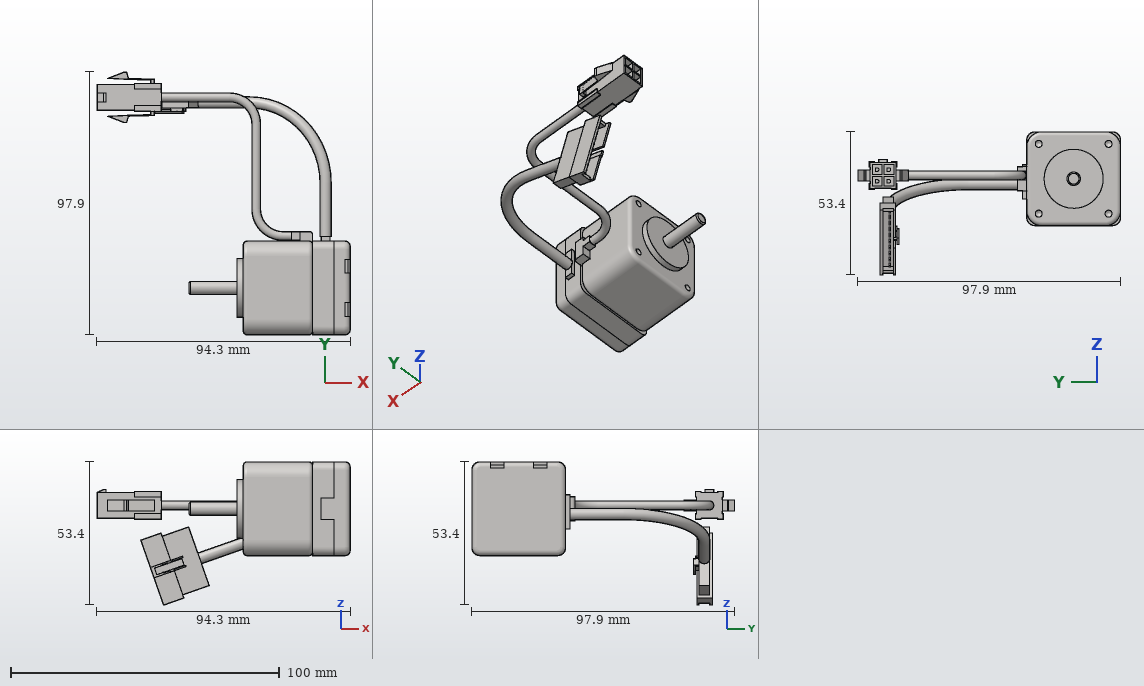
import cadquery as cq
import math


FRAME = 35.0
HALF_FRAME = FRAME / 2
MOTOR_LENGTH = 25.9
MOTOR_CORNER_RADIUS = 5.7
MOTOR_EDGE_RADIUS = 1.5
PILOT_DIAMETER = 22.0
PILOT_HEIGHT = 2.4
MOUNT_PITCH = 26.0
MOUNT_HOLE_DIAMETER = 2.6
MOUNT_HOLE_DEPTH = 4.5
DRILL_POINT_DEPTH = 0.75

SHAFT_DIAMETER = 5.0
SHAFT_REACH = 20.2
SHAFT_CHAMFER = 0.5
SHAFT_SEAT_DEPTH = 10.0

ENCODER_END = 39.88
ENCODER_CORNER_RADIUS = 3.1
COVER_START = 33.8
COVER_EDGE_RADIUS = 2.0
TAB_LENGTH = 4.85
TAB_WIDTH = 8.0
TAB_THICKNESS = 2.0
NOTCH_PITCH = 16.1
NOTCH_WIDTH = 5.1
NOTCH_START = 38.0
NOTCH_STEP_START = 39.0
NOTCH_DEPTH = 1.2
NOTCH_STEP_DEPTH = 2.4
BOSS_WIDTH = 3.3
BOSS_HEIGHT = 1.6
BOSS_EMBED = 1.0
BOSS_BOTTOM = -7.6
BOSS_TOP = 5.3

MOTOR_CABLE_DIAMETER = 3.3
MOTOR_CABLE_BEND = 10.0
MOTOR_CABLE_Z = 1.25
MOTOR_CABLE_RUN_X = 4.85
PLUG_LENGTH = 4.8
PLUG_HEIGHT = 3.5
PLUG_WIDTH = 9.1
PLUG_CORNER_RADIUS = 1.2
SLEEVE_LENGTH = 3.2
SLEEVE_START = MOTOR_LENGTH - PLUG_LENGTH - SLEEVE_LENGTH
PLUG_CABLE_Y = HALF_FRAME + PLUG_HEIGHT - MOTOR_CABLE_DIAMETER / 2

FOUR_WAY_FRONT = -54.4
FOUR_WAY_LENGTH = 23.9
FOUR_WAY_BACK = FOUR_WAY_FRONT + FOUR_WAY_LENGTH
FOUR_WAY_WIDTH = 9.7
FOUR_WAY_HALF = FOUR_WAY_WIDTH / 2
FOUR_WAY_Y = 71.0
RAIL_LENGTH = 10.0
RAIL_SIZE = 2.1
RAIL_PROUD = 0.35
SOCKET_SIZE = 3.65
SOCKET_PITCH = 4.35
SOCKET_DEPTH = 10.0
POST_SIZE = 1.35
POST_LENGTH = 6.0
POST_CHAMFER = 0.45
KEY_LENGTH = 3.3
KEY_RAMP_LENGTH = 2.4
KEY_WIDTH = 3.3
KEY_HEIGHT = 1.15
LATCH_WIDTH = 4.2
LATCH_TIP = 3.9
LATCH_PEAK_START = 10.0
LATCH_PEAK_END = 11.0
LATCH_HOOK_END = 11.7
LATCH_ROOT_START = 19.9
LATCH_ROOT_END = 21.3
LATCH_TIP_HEIGHT = 2.2
LATCH_PEAK_HEIGHT = 4.56
LATCH_ROOT_HEIGHT = 1.95
LATCH_THICKNESS = 0.4

ENCODER_CABLE_DIAMETER = 4.25
ENCODER_CABLE_BEND = 30.0
ENCODER_CABLE_X = 30.7
ENCODER_CABLE_Z = -2.0
ENCODER_CABLE_Y = 69.1
ENCODER_CABLE_TAIL = 19.7
ENCODER_CABLE_TILT = 19.36

WIDE_Y = 69.1
WIDE_OFFSET = 0.85
SHROUD_WIDTH = 25.7
SHROUD_LENGTH = 8.05
CLIP_PLATE_THICKNESS = 0.8
PLAIN_PLATE_THICKNESS = 1.1
SHROUD_END_SETBACK = 2.0
BLOCK_WIDTH = 23.2
BLOCK_LENGTH = 10.45
BLOCK_THICKNESS = 4.0
WIDE_LENGTH = SHROUD_LENGTH + BLOCK_LENGTH
CAVITY_DEPTH = 6.5
PIN_COUNT = 10
PIN_PITCH = 2.37
PIN_SIZE = 0.7
PIN_LENGTH = 2.5
PIN_OFFSET = 0.6
CLIP_SLOT_WIDTH = 4.1
CLIP_SLOT_LENGTH = 12.7
CLIP_GUARD_WIDTH = 0.5
CLIP_GUARD_HEIGHT = 1.35
CLIP_ARM_WIDTH = 2.6
CLIP_ARM_START = 1.4
CLIP_ARM_END = 12.2
CLIP_ARM_HEIGHT = 2.1
CLIP_ARM_THICKNESS = 0.8
CLIP_ROOT_LENGTH = 2.0


def block(x_range, y_range, z_range):
    """Axis-aligned box given by its limits along X, Y and Z."""
    size = [limits[1] - limits[0] for limits in (x_range, y_range, z_range)]
    corner = (x_range[0], y_range[0], z_range[0])
    return cq.Workplane("XY").box(*size, centered=False).translate(corner)


def around(center, width):
    """Limits of a width centred on a coordinate."""
    return (center - width / 2, center + width / 2)


def square_bar(start, end, corner_radius):
    """Square bar of the motor frame size along X, with rounded long edges."""
    bar = block((start, end), around(0, FRAME), around(0, FRAME))
    return bar.edges("|X").fillet(corner_radius)


def rod(start, end, diameter):
    """Round rod along the shaft axis."""
    return cq.Workplane("YZ").workplane(offset=start).circle(diameter / 2).extrude(end - start)


def make_shaft():
    shaft = rod(-SHAFT_REACH, SHAFT_SEAT_DEPTH, SHAFT_DIAMETER)
    return shaft.faces("<X").chamfer(SHAFT_CHAMFER)


def mount_hole():
    """Blind mounting hole from the front face, ending in a conical drill point."""
    radius = MOUNT_HOLE_DIAMETER / 2
    half_profile = [
        (0, 0),
        (0, radius),
        (MOUNT_HOLE_DEPTH, radius),
        (MOUNT_HOLE_DEPTH + DRILL_POINT_DEPTH, 0),
    ]
    return cq.Workplane("XY").polyline(half_profile).close().revolve(360, (0, 0, 0), (1, 0, 0))


def make_motor():
    motor = square_bar(0, MOTOR_LENGTH, MOTOR_CORNER_RADIUS)
    motor = motor.faces("<X or >X").edges().fillet(MOTOR_EDGE_RADIUS)
    for y in around(0, MOUNT_PITCH):
        for z in around(0, MOUNT_PITCH):
            motor = motor.cut(mount_hole().translate((0, y, z)))
    motor = motor.union(rod(-PILOT_HEIGHT, MOTOR_EDGE_RADIUS, PILOT_DIAMETER))
    return motor.cut(rod(-PILOT_HEIGHT, SHAFT_SEAT_DEPTH, SHAFT_DIAMETER))


def make_motor_plug():
    """Plug seated on the +Y side of the motor, with a square sleeve around the cable entry."""
    plug = block(
        (MOTOR_LENGTH - PLUG_LENGTH, MOTOR_LENGTH),
        (HALF_FRAME - MOTOR_EDGE_RADIUS, HALF_FRAME + PLUG_HEIGHT),
        around(0, PLUG_WIDTH),
    )
    plug = plug.edges(">X and >Y").fillet(PLUG_CORNER_RADIUS)
    sleeve = block(
        (SLEEVE_START, MOTOR_LENGTH - PLUG_LENGTH),
        around(PLUG_CABLE_Y, MOTOR_CABLE_DIAMETER),
        around(MOTOR_CABLE_Z, MOTOR_CABLE_DIAMETER),
    )
    return plug.union(sleeve)


def cover_tab():
    """Tab of the cover that fills a notch in the -Y wall of the encoder base."""
    return block(
        (COVER_START - TAB_LENGTH, COVER_START),
        (-HALF_FRAME, -HALF_FRAME + TAB_THICKNESS),
        around(0, TAB_WIDTH),
    )


def make_encoder_base():
    base = square_bar(MOTOR_LENGTH, COVER_START, ENCODER_CORNER_RADIUS).cut(cover_tab())
    cable_boss = block(
        around(ENCODER_CABLE_X, BOSS_WIDTH),
        (HALF_FRAME - BOSS_EMBED, HALF_FRAME + BOSS_HEIGHT),
        (BOSS_BOTTOM, BOSS_TOP),
    )
    return base.union(cable_boss)


def make_encoder_cover():
    cover = square_bar(COVER_START, ENCODER_END, ENCODER_CORNER_RADIUS)
    cover = cover.faces(">X").edges().fillet(COVER_EDGE_RADIUS)
    cover = cover.union(cover_tab())
    for y in around(0, NOTCH_PITCH):
        for start, depth in ((NOTCH_START, NOTCH_DEPTH), (NOTCH_STEP_START, NOTCH_STEP_DEPTH)):
            notch = block((start, ENCODER_END), around(y, NOTCH_WIDTH), (HALF_FRAME - depth, HALF_FRAME))
            cover = cover.cut(notch)
    return cover


def make_motor_cable():
    """S-shaped cable from the plug sleeve to the back of the four-way connector."""
    r = MOTOR_CABLE_BEND
    diagonal = r * math.sqrt(0.5)
    run_x = MOTOR_CABLE_RUN_X
    low_y = PLUG_CABLE_Y
    high_y = FOUR_WAY_Y
    path = (
        cq.Workplane("XY", origin=(0, 0, MOTOR_CABLE_Z))
        .moveTo(SLEEVE_START, low_y)
        .lineTo(run_x + r, low_y)
        .threePointArc((run_x + r - diagonal, low_y + r - diagonal), (run_x, low_y + r))
        .lineTo(run_x, high_y - r)
        .threePointArc((run_x - r + diagonal, high_y - r + diagonal), (run_x - r, high_y))
        .lineTo(FOUR_WAY_BACK, high_y)
    )
    section = cq.Workplane("YZ", origin=(SLEEVE_START, low_y, MOTOR_CABLE_Z))
    return section.circle(MOTOR_CABLE_DIAMETER / 2).sweep(path)


def four_way_latch(side):
    """Sprung latch arm with a hook, on the +Y (side = 1) or -Y (side = -1) face."""

    def point(distance, height):
        return (FOUR_WAY_FRONT + distance, FOUR_WAY_Y + side * (FOUR_WAY_HALF + height))

    outline = [
        point(LATCH_TIP, LATCH_TIP_HEIGHT),
        point(LATCH_PEAK_START, LATCH_PEAK_HEIGHT),
        point(LATCH_PEAK_END, LATCH_PEAK_HEIGHT),
        point(LATCH_HOOK_END, LATCH_TIP_HEIGHT),
        point(LATCH_ROOT_END, LATCH_ROOT_HEIGHT),
        point(LATCH_ROOT_END, 0),
        point(LATCH_ROOT_START, 0),
        point(LATCH_ROOT_START, LATCH_ROOT_HEIGHT - LATCH_THICKNESS),
        point(LATCH_HOOK_END, LATCH_TIP_HEIGHT - LATCH_THICKNESS),
    ]
    plane = cq.Workplane("XY", origin=(0, 0, MOTOR_CABLE_Z - LATCH_WIDTH / 2))
    return plane.polyline(outline).close().extrude(LATCH_WIDTH)


def four_way_key():
    """Ramped key on the top face at the mating end."""
    base_z = MOTOR_CABLE_Z + FOUR_WAY_HALF
    top_z = base_z + KEY_HEIGHT
    outline = [
        (FOUR_WAY_FRONT, base_z),
        (FOUR_WAY_FRONT + KEY_RAMP_LENGTH, top_z),
        (FOUR_WAY_FRONT + KEY_LENGTH, top_z),
        (FOUR_WAY_FRONT + KEY_LENGTH, base_z),
    ]
    plane = cq.Workplane("XZ", origin=(0, FOUR_WAY_Y + KEY_WIDTH / 2, 0))
    return plane.polyline(outline).close().extrude(KEY_WIDTH)


def make_four_way_connector():
    body = block(
        (FOUR_WAY_FRONT, FOUR_WAY_BACK),
        around(FOUR_WAY_Y, FOUR_WAY_WIDTH),
        around(MOTOR_CABLE_Z, FOUR_WAY_WIDTH),
    )
    rail_pitch = FOUR_WAY_WIDTH + 2 * RAIL_PROUD - RAIL_SIZE
    for y in around(FOUR_WAY_Y, rail_pitch):
        for z in around(MOTOR_CABLE_Z, rail_pitch):
            rail_span = (FOUR_WAY_BACK - RAIL_LENGTH, FOUR_WAY_BACK)
            body = body.union(block(rail_span, around(y, RAIL_SIZE), around(z, RAIL_SIZE)))

    socket_floor = FOUR_WAY_FRONT + SOCKET_DEPTH
    for y in around(FOUR_WAY_Y, SOCKET_PITCH):
        for z in around(MOTOR_CABLE_Z, SOCKET_PITCH):
            socket = block((FOUR_WAY_FRONT, socket_floor), around(y, SOCKET_SIZE), around(z, SOCKET_SIZE))
            post_span = (socket_floor - POST_LENGTH, socket_floor)
            post = block(post_span, around(y, POST_SIZE), around(z, POST_SIZE))
            post = post.edges("|X and <Y").chamfer(POST_CHAMFER)
            body = body.cut(socket).union(post)

    for side in (1, -1):
        body = body.union(four_way_latch(side))
    return body.union(four_way_key())


BEND_CORNER = (ENCODER_CABLE_X, ENCODER_CABLE_Y, ENCODER_CABLE_Z)
WIDE_BACK = ENCODER_CABLE_X - ENCODER_CABLE_BEND - ENCODER_CABLE_TAIL


def tilt(body):
    """Swing a body about the Y direction through the cable's bend corner, lowering its -X end."""
    x, y, z = BEND_CORNER
    return body.rotate(BEND_CORNER, (x, y + 1, z), -ENCODER_CABLE_TILT)


def make_encoder_cable():
    x, y, z = BEND_CORNER
    r = ENCODER_CABLE_BEND
    boss_y = HALF_FRAME + BOSS_HEIGHT
    diagonal = r * math.sqrt(0.5)
    path = (
        cq.Workplane("XY", origin=(0, 0, z))
        .moveTo(WIDE_BACK, y)
        .lineTo(x - r, y)
        .threePointArc((x - r + diagonal, y - r + diagonal), (x, y - r))
    )
    section = cq.Workplane("YZ", origin=(WIDE_BACK, y, z)).circle(ENCODER_CABLE_DIAMETER / 2)
    tail = tilt(section.sweep(path))
    lead = (
        cq.Workplane("XZ", origin=(x, y - r, z))
        .circle(ENCODER_CABLE_DIAMETER / 2)
        .extrude(y - r - boss_y)
    )
    return tail.union(lead)


def make_wide_connector():
    """Ten-way connector, built level with its mating face towards -X and then tilted."""
    front = WIDE_BACK - WIDE_LENGTH
    step = front + SHROUD_LENGTH
    mid_z = ENCODER_CABLE_Z + WIDE_OFFSET
    block_y = around(WIDE_Y, BLOCK_THICKNESS)
    shroud_y = (block_y[0] - CLIP_PLATE_THICKNESS, block_y[1] + PLAIN_PLATE_THICKNESS)
    clip_base_y = block_y[0]

    body = block((step, WIDE_BACK), block_y, around(mid_z, BLOCK_WIDTH))
    body = body.union(block((front, step), shroud_y, around(mid_z, SHROUD_WIDTH)))

    end_setback = block((front, front + SHROUD_END_SETBACK), block_y, around(mid_z, SHROUD_WIDTH))
    cavity_floor = front + CAVITY_DEPTH
    cavity = block((front, cavity_floor), block_y, around(mid_z, BLOCK_WIDTH))
    body = body.cut(end_setback).cut(cavity)

    pin_span = (cavity_floor - PIN_LENGTH, cavity_floor)
    for index in range(PIN_COUNT):
        pin_z = mid_z + (index - (PIN_COUNT - 1) / 2) * PIN_PITCH
        pin_y = WIDE_Y - PIN_OFFSET
        pin = block(pin_span, around(pin_y, PIN_SIZE), around(pin_z, PIN_SIZE))
        body = body.union(pin)

    clip_end = front + CLIP_SLOT_LENGTH
    slot = block((front, step), (shroud_y[0], clip_base_y), around(mid_z, CLIP_SLOT_WIDTH))
    body = body.cut(slot)
    for guard_z in around(mid_z, CLIP_SLOT_WIDTH - CLIP_GUARD_WIDTH):
        guard_y = (clip_base_y - CLIP_GUARD_HEIGHT, clip_base_y)
        body = body.union(block((step, clip_end), guard_y, around(guard_z, CLIP_GUARD_WIDTH)))
    arm_y = clip_base_y - CLIP_ARM_HEIGHT
    arm_end = front + CLIP_ARM_END
    arm_z = around(mid_z, CLIP_ARM_WIDTH)
    body = body.union(block((front + CLIP_ARM_START, arm_end), (arm_y, arm_y + CLIP_ARM_THICKNESS), arm_z))
    body = body.union(block((arm_end - CLIP_ROOT_LENGTH, arm_end), (arm_y, clip_base_y), arm_z))
    return tilt(body)


shaft = make_shaft()
motor_plug = make_motor_plug()
motor = make_motor().cut(motor_plug)
encoder_base = make_encoder_base()
encoder_cover = make_encoder_cover()
motor_cable = make_motor_cable()
four_way_connector = make_four_way_connector()
encoder_cable = make_encoder_cable()
wide_connector = make_wide_connector()

result = cq.Compound.makeCompound([
    motor.val(),
    shaft.val(),
    motor_plug.val(),
    encoder_base.val(),
    encoder_cover.val(),
    motor_cable.val(),
    four_way_connector.val(),
    encoder_cable.val(),
    wide_connector.val(),
])